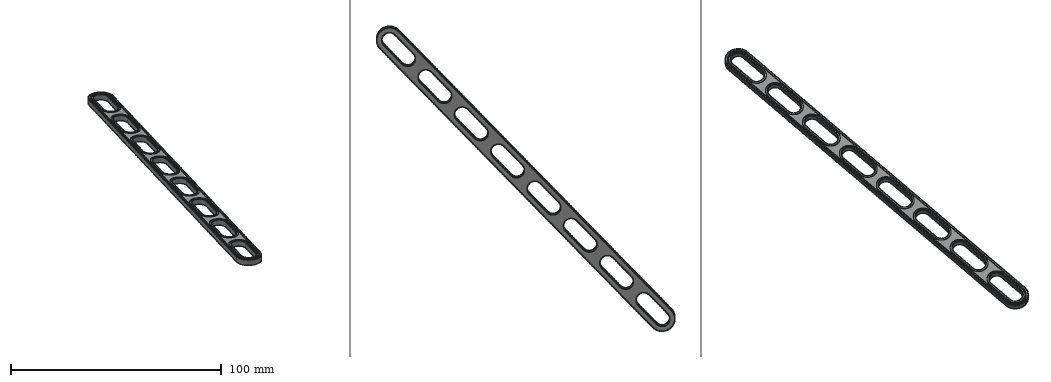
import cadquery as cq

length = 200.0
thickness = 3.2
slot_count = 8
slot_pitch = length / slot_count
width = slot_pitch / 2
edge_chamfer = 0.3

slot_width = 7.0
slot_straight = slot_pitch - width

relief_depth = 0.3
relief_width = 10.5
land_width = 9.2

slot_centres = [((i - (slot_count - 1) / 2) * slot_pitch, 0) for i in range(slot_count)]


def stadium(straight, across, height, centres=((0, 0),)):
    """Round-ended prisms standing on Z = 0, long in X; straight is the distance between arc centres."""
    return cq.Workplane("XY").pushPoints(centres).slot2D(straight + across, across).extrude(height)


def make_relief():
    """One long stadium following the rim, leaving the lands around the slots standing."""
    floor_z = thickness - relief_depth
    pocket = stadium(length - width, relief_width, relief_depth)
    lands = stadium(slot_straight, land_width, relief_depth, slot_centres)
    return pocket.cut(lands).translate((0, 0, floor_z))


plate = stadium(length - width, width, thickness)
slots = stadium(slot_straight, slot_width, thickness, slot_centres)

result = plate.cut(slots).faces("<Z or >Z").chamfer(edge_chamfer).cut(make_relief())